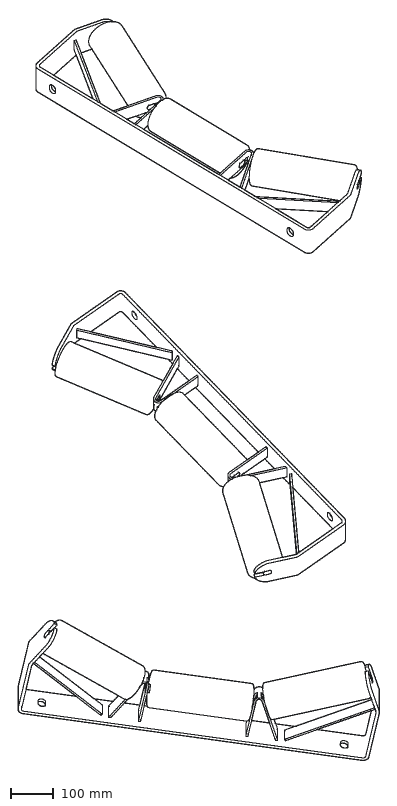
import cadquery as cq
import math


frame_length = 830.0
frame_width = 80.0
frame_thickness = 8.0
frame_bend_radius = 14.0
arm_kink_y = 151.0
arm_tip_rise = 31.5
wing_angle = 25.0
hole_spacing = 715.5
hole_width = 18.0
hole_length = 26.0

bracket_width = 40.0
bracket_thickness = 5.0
bracket_bend_radius = 12.0
bracket_bend_y = 118.0
bracket_face_x = 124.5

strut_thickness = 5.0
strut_width = 33.0
strut_angle = 35.0
strut_foot_x = 218.0

roller_diameter = 89.0
roller_length = 240.0
roller_edge_radius = 5.0
shaft_diameter = 20.0
shaft_flat_width = 15.0
centre_roller_y = 101.0
centre_roller_z = -7.5
wing_roller_x = -265.0
wing_roller_y = 162.0
wing_roller_z = -4.0
wing_tilt = 1.6

centre_shaft_reach = bracket_face_x + bracket_thickness
wing_shaft_outer_reach = 132.0
wing_shaft_inner_reach = 127.0

clearance = 1.0


def place_in_centre(shape):
    """Move a shape lying along X at the origin to the centre roller axis."""
    return shape.translate((0, centre_roller_y, centre_roller_z))


def place_on_wing(shape, tilt=wing_tilt):
    """Move a shape lying along X at the origin to the left wing roller axis."""
    tilted = shape.rotate((0, 0, 0), (0, 1, 0), tilt)
    turned = tilted.rotate((0, 0, 0), (0, 0, 1), -wing_angle)
    return turned.translate((wing_roller_x, wing_roller_y, wing_roller_z))


def bent_strip(corners, width, thickness, outer_radius):
    """Strip following a centreline through the corners, with rounded bends."""
    points = [cq.Vector(x, y, 0) for x, y in corners]
    path = cq.Wire.makePolygon(points).fillet(outer_radius - thickness / 2)
    start = cq.Plane(origin=points[0], xDir=(0, 0, 1), normal=points[1] - points[0])
    return cq.Workplane(start).rect(width, thickness).sweep(path)


def bar_along_x(start_x, end_x, diameter):
    """Round bar on the X axis between two X positions."""
    plane = cq.Workplane("YZ", origin=(start_x, 0, 0))
    return plane.circle(diameter / 2).extrude(end_x - start_x)


def flatted_bar(start_x, end_x):
    """Shaft-end section: a round bar with flats above and below."""
    plane = cq.Workplane("YZ", origin=(start_x, 0, 0))
    flats = plane.rect(shaft_diameter, shaft_flat_width).extrude(end_x - start_x)
    return bar_along_x(start_x, end_x, shaft_diameter).intersect(flats)


def shaft_slot(left_reach, right_reach):
    """Cutter for a flatted shaft, open towards +Y."""
    start_x = -left_reach - clearance
    end_x = right_reach + clearance
    mouth = (
        cq.Workplane("YZ", origin=(start_x, 0, 0))
        .rect(frame_width, shaft_flat_width)
        .extrude(end_x - start_x)
        .translate((0, frame_width / 2, 0))
    )
    return flatted_bar(start_x, end_x).union(mouth)


centre_slot = place_in_centre(shaft_slot(centre_shaft_reach, centre_shaft_reach))
wing_slot = place_on_wing(shaft_slot(wing_shaft_outer_reach, wing_shaft_inner_reach))


def arm_end_trim():
    """Cutter that leaves an arc-shaped end on the left arm."""
    half = frame_width / 2
    depth = 2 * roller_length
    rounded = (
        cq.Workplane("YZ")
        .moveTo(0, -half)
        .threePointArc((arm_tip_rise, 0), (0, half))
        .close()
        .extrude(depth / 2, both=True)
    )
    block = cq.Workplane("XY").box(depth, frame_width, 2 * frame_width, centered=(True, False, True))
    return place_on_wing(block.cut(rounded), tilt=0).translate((0, 0, -wing_roller_z))


def make_frame():
    side_x = (frame_length - frame_thickness) / 2
    back_y = frame_thickness / 2
    arm_blank = 1.5 * frame_width
    tip_x = side_x - arm_blank * math.sin(math.radians(wing_angle))
    tip_y = arm_kink_y + arm_blank * math.cos(math.radians(wing_angle))
    left = [(-tip_x, tip_y), (-side_x, arm_kink_y), (-side_x, back_y)]
    right = [(-x, y) for x, y in reversed(left)]
    frame = bent_strip(left + right, frame_width, frame_thickness, frame_bend_radius)

    for cutter in (arm_end_trim(), wing_slot):
        frame = frame.cut(cutter).cut(cutter.mirror("YZ"))

    holes = (
        cq.Workplane("XZ")
        .pushPoints([(-hole_spacing / 2, 0), (hole_spacing / 2, 0)])
        .slot2D(hole_length, hole_width, 90)
        .extrude(-frame_thickness)
    )
    return frame.cut(holes)


def make_left_bracket():
    """Strip folded to an upright leg and a sloped leg, standing on the back strip."""
    leg_angle = math.radians(wing_angle)
    bend_radius = bracket_bend_radius - bracket_thickness / 2
    upright_x = -bracket_face_x - bracket_thickness / 2
    apex_y = bracket_bend_y + bend_radius / math.tan(leg_angle / 2)
    corners = [
        (upright_x, 0),
        (upright_x, apex_y),
        (upright_x - apex_y * math.tan(leg_angle), 0),
    ]
    bracket = bent_strip(corners, bracket_width, bracket_thickness, bracket_bend_radius)
    foot_trim = cq.Workplane("XY").box(frame_length, 2 * frame_thickness, frame_width)
    return bracket.cut(foot_trim).cut(centre_slot).cut(wing_slot)


def make_left_strut():
    """Square-cut flat bar: one corner rests on the back strip, one on the side."""
    angle = math.radians(strut_angle)
    span_x = frame_length / 2 - frame_thickness - strut_foot_x
    length = span_x / math.cos(angle)
    bar = cq.Workplane("XY").box(length, strut_thickness, strut_width, centered=(False, False, True))
    upright = bar.mirror("YZ").rotate((0, 0, 0), (0, 0, 1), -strut_angle)
    return upright.translate((-strut_foot_x, frame_thickness, 0))


def make_roller(left_reach, left_plate, right_reach, right_plate):
    """Roller and its shaft along X, flatted where each end passes through a plate."""
    drum = bar_along_x(-roller_length / 2, roller_length / 2, roller_diameter)
    drum = drum.edges().fillet(roller_edge_radius)
    left_shoulder = -left_reach + left_plate + clearance
    right_shoulder = right_reach - right_plate - clearance
    shaft = bar_along_x(left_shoulder, right_shoulder, shaft_diameter)
    shaft = shaft.union(flatted_bar(-left_reach, left_shoulder))
    shaft = shaft.union(flatted_bar(right_shoulder, right_reach))
    return drum.union(shaft)


frame = make_frame()
centre_roller = place_in_centre(
    make_roller(centre_shaft_reach, bracket_thickness, centre_shaft_reach, bracket_thickness)
)
left_roller = place_on_wing(
    make_roller(wing_shaft_outer_reach, frame_thickness, wing_shaft_inner_reach, bracket_thickness)
)

bodies = [frame.solids().val(), centre_roller.solids().val()]
for left_body in (left_roller, make_left_bracket(), make_left_strut()):
    left_solid = left_body.solids().val()
    bodies += [left_solid, left_solid.mirror("YZ")]

result = cq.Compound.makeCompound(bodies)